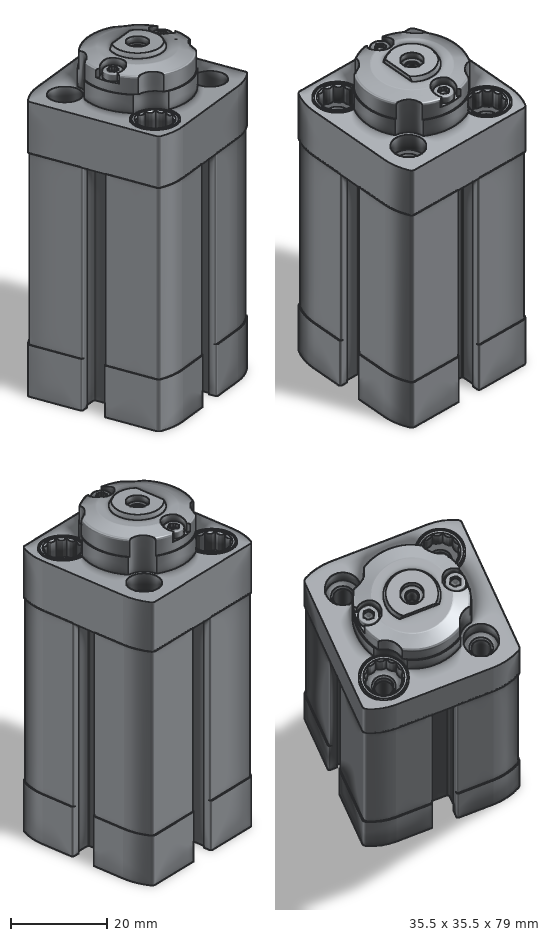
import cadquery as cq
import math

TOTAL_HEIGHT = 79.0
DECK_HEIGHT = 68.5
END_CAP_HEIGHT = 12.0

CAP_WIDTH = 35.5
BARREL_INSET = 0.2
CORNER_ARC_START = 11.0
CORNER_ARC_RADIUS = 13.6
CORNER_EDGE_RADIUS = 1.0

SLOT_MOUTH_WIDTH = 5.4
SLOT_INNER_WIDTH = 6.5
SLOT_LIP_RADIUS = 0.5
SLOT_NECK_DEPTH = 2.0
SLOT_DEPTH = 5.7
SLOT_FLOOR_RADIUS = 0.6

LOWER_DISC_DIAMETER = 25.0
LOWER_DISC_TOP = 72.75
UPPER_DISC_DIAMETER = 24.5
UPPER_DISC_EDGE_HEIGHT = 76.95
UPPER_DISC_EDGE_RADIUS = 0.6
COVER_FLAT_DIAMETER = 17.3
COVER_FLAT_BLEND_RADIUS = 1.0
BOSS_DIAMETER = 12.0
BOSS_HEIGHT = 1.0
BOSS_CHAMFER = 0.55
BOSS_FLAT_OFFSET = 4.0
COVER_TOP = TOTAL_HEIGHT - BOSS_HEIGHT

BOSS_COUNTERBORE_DIAMETER = 5.0
BOSS_COUNTERBORE_DEPTH = 1.5
BOSS_HOLE_DIAMETER = 2.5
BOSS_HOLE_DEPTH = 6.0
BOSS_HOLE_COUNTERSINK = 0.2
DRILL_TIP_ANGLE = 118

MOUNT_HOLE_PITCH = 22.0
MOUNT_HOLE_DIAMETER = 4.1
MOUNT_CHAMFER_DIAMETER = 5.0
MOUNT_COUNTERBORE_DIAMETER = 7.5
MOUNT_COUNTERBORE_DEPTH = 4.0
SCALLOP_DIAMETER = 9.0

COLLAR_DIAMETER = 10.5
COLLAR_HEIGHT = 6.5
COLLAR_EDGE_CHAMFER = 0.4
COLLAR_SOCKET_DEPTH = 4.5
SOCKET_MOUTH_DIAMETER = 8.6
SOCKET_ROOT_DIAMETER = 8.45
SOCKET_TIP_DIAMETER = 7.75
SOCKET_TOOTH_COUNT = 12
SOCKET_TOOTH_TIP_WIDTH = 0.7

COVER_SCREW_OFFSET = 9.8
POCKET_DIAMETER = 5.5
POCKET_DEPTH = 3.0
POCKET_NECK_WIDTH = 4.1
POCKET_NECK_OFFSET = 11.5
POCKET_FLARE_LENGTH = 0.95
POCKET_FLARE_SPREAD = 2.05
SCREW_HEAD_DIAMETER = 4.4
SCREW_HEAD_HEIGHT = 1.7
SCREW_HEAD_RADIUS = 0.3
SCREW_SHANK_DIAMETER = 2.0
SCREW_SHANK_LENGTH = 6.0
SCREW_SOCKET_DIAMETER = 2.45
SCREW_SOCKET_CORE_DIAMETER = 2.2
SCREW_SOCKET_LOBE_DIAMETER = 0.6
SCREW_SOCKET_LOBE_COUNT = 6
SCREW_SOCKET_DEPTH = 1.0

HOLE_OFFSET = MOUNT_HOLE_PITCH / 2
PLAIN_CORNERS = [(HOLE_OFFSET, HOLE_OFFSET), (-HOLE_OFFSET, -HOLE_OFFSET)]
COLLAR_CORNERS = [(-HOLE_OFFSET, HOLE_OFFSET), (HOLE_OFFSET, -HOLE_OFFSET)]
POCKET_FLOOR = COVER_TOP - POCKET_DEPTH


def cylinder(diameter, bottom, top, center=(0, 0)):
    disc = cq.Workplane("XY", origin=(*center, bottom)).circle(diameter / 2)
    return disc.extrude(top - bottom)


def cone(bottom_diameter, top_diameter, bottom, top, center=(0, 0)):
    axis = cq.Vector(0, 0, 1)
    base = cq.Vector(*center, bottom)
    solid = cq.Solid.makeCone(bottom_diameter / 2, top_diameter / 2, top - bottom, base, axis)
    return cq.Workplane(solid)


def block(inset, bottom, top):
    """Square prism whose X sides curve inwards towards the corners, all faces set in by `inset`."""
    half = CAP_WIDTH / 2 - inset
    radius = CORNER_ARC_RADIUS - inset
    arc_center = CAP_WIDTH / 2 - CORNER_ARC_RADIUS
    end_angle = math.asin((half - CORNER_ARC_START) / radius)

    def arc_point(angle):
        return (arc_center + radius * math.cos(angle), CORNER_ARC_START + radius * math.sin(angle))

    middle_x, middle_y = arc_point(end_angle / 2)
    end_x, end_y = arc_point(end_angle)
    outline = (
        cq.Workplane("XY", origin=(0, 0, bottom))
        .moveTo(half, -CORNER_ARC_START)
        .lineTo(half, CORNER_ARC_START)
        .threePointArc((middle_x, middle_y), (end_x, end_y))
        .lineTo(-end_x, end_y)
        .threePointArc((-middle_x, middle_y), (-half, CORNER_ARC_START))
        .lineTo(-half, -CORNER_ARC_START)
        .threePointArc((-middle_x, -middle_y), (-end_x, -end_y))
        .lineTo(end_x, -end_y)
        .threePointArc((middle_x, -middle_y), (half, -CORNER_ARC_START))
        .close()
    )
    solid = outline.extrude(top - bottom)
    return solid.edges("|Z and (>Y or <Y)").fillet(CORNER_EDGE_RADIUS)


def sensor_slot(inset, bottom, top):
    """T-shaped slot along the -Y side, with rounded lips where it meets a face set in by `inset`."""
    face = -CAP_WIDTH / 2 + inset
    neck_end = -CAP_WIDTH / 2 + SLOT_NECK_DEPTH
    floor = -CAP_WIDTH / 2 + SLOT_DEPTH
    mouth = SLOT_MOUTH_WIDTH / 2
    inner = SLOT_INNER_WIDTH / 2
    lip_middle = SLOT_LIP_RADIUS * (1 - math.sqrt(0.5))
    return (
        cq.Workplane("XY", origin=(0, 0, bottom))
        .moveTo(-mouth - SLOT_LIP_RADIUS, face)
        .threePointArc((-mouth - lip_middle, face + lip_middle), (-mouth, face + SLOT_LIP_RADIUS))
        .lineTo(-mouth, neck_end)
        .lineTo(-inner, neck_end)
        .lineTo(-inner, floor)
        .lineTo(inner, floor)
        .lineTo(inner, neck_end)
        .lineTo(mouth, neck_end)
        .lineTo(mouth, face + SLOT_LIP_RADIUS)
        .threePointArc((mouth + lip_middle, face + lip_middle), (mouth + SLOT_LIP_RADIUS, face))
        .close()
        .extrude(top - bottom)
        .edges("|Z and >Y")
        .fillet(SLOT_FLOOR_RADIUS)
    )


def cover():
    """Two stacked discs, a conical rim and a raised boss with one flat."""
    lower_disc = cylinder(LOWER_DISC_DIAMETER, DECK_HEIGHT, LOWER_DISC_TOP)
    upper_disc = cylinder(UPPER_DISC_DIAMETER, LOWER_DISC_TOP, UPPER_DISC_EDGE_HEIGHT).union(
        cone(UPPER_DISC_DIAMETER, COVER_FLAT_DIAMETER, UPPER_DISC_EDGE_HEIGHT, COVER_TOP)
    )
    rim_edge = cq.selectors.BoxSelector(
        (-UPPER_DISC_DIAMETER, -UPPER_DISC_DIAMETER, LOWER_DISC_TOP + UPPER_DISC_EDGE_RADIUS),
        (UPPER_DISC_DIAMETER, UPPER_DISC_DIAMETER, COVER_TOP - UPPER_DISC_EDGE_RADIUS),
    )
    upper_disc = upper_disc.edges("%CIRCLE").edges(rim_edge).fillet(UPPER_DISC_EDGE_RADIUS)
    upper_disc = upper_disc.edges("%CIRCLE and >Z").fillet(COVER_FLAT_BLEND_RADIUS)
    boss = cone(BOSS_DIAMETER, BOSS_DIAMETER - 2 * BOSS_CHAMFER, COVER_TOP, TOTAL_HEIGHT)
    flat_cut = (
        cq.Workplane("XY", origin=(-BOSS_FLAT_OFFSET - BOSS_DIAMETER / 2, 0, COVER_TOP))
        .rect(BOSS_DIAMETER, BOSS_DIAMETER)
        .extrude(BOSS_HEIGHT)
    )
    boss = boss.cut(flat_cut)

    for corner in PLAIN_CORNERS:
        lower_disc = lower_disc.cut(cylinder(SCALLOP_DIAMETER, DECK_HEIGHT, LOWER_DISC_TOP, corner))
    for corner in COLLAR_CORNERS:
        lower_disc = lower_disc.cut(cylinder(COLLAR_DIAMETER, DECK_HEIGHT, LOWER_DISC_TOP, corner))
    for corner in PLAIN_CORNERS + COLLAR_CORNERS:
        upper_disc = upper_disc.cut(cylinder(SCALLOP_DIAMETER, LOWER_DISC_TOP, COVER_TOP, corner))
    return lower_disc.union(upper_disc).union(boss)


def boss_hole():
    """Counterbored blind hole with a countersunk mouth and a drill-tip bottom."""
    step = TOTAL_HEIGHT - BOSS_COUNTERBORE_DEPTH
    bottom = TOTAL_HEIGHT - BOSS_HOLE_DEPTH
    sink_diameter = BOSS_HOLE_DIAMETER + 2 * BOSS_HOLE_COUNTERSINK
    tip_height = BOSS_HOLE_DIAMETER / 2 / math.tan(math.radians(DRILL_TIP_ANGLE / 2))
    return (
        cylinder(BOSS_COUNTERBORE_DIAMETER, step, TOTAL_HEIGHT)
        .union(cone(BOSS_HOLE_DIAMETER, sink_diameter, step - BOSS_HOLE_COUNTERSINK, step))
        .union(cylinder(BOSS_HOLE_DIAMETER, bottom, step))
        .union(cone(0, BOSS_HOLE_DIAMETER, bottom - tip_height, bottom))
    )


def through_bore(corner, step, bottom):
    """Mounting bore from `bottom` up to `step`, chamfered at its upper end."""
    chamfer = (MOUNT_CHAMFER_DIAMETER - MOUNT_HOLE_DIAMETER) / 2
    bore = cylinder(MOUNT_HOLE_DIAMETER, bottom, step, corner)
    sink = cone(MOUNT_HOLE_DIAMETER, MOUNT_CHAMFER_DIAMETER, step - chamfer, step, corner)
    return bore.union(sink)


def cover_screw_pocket():
    """Round pocket at the +Y edge of the cover that opens outwards through a flared neck."""
    neck = POCKET_NECK_WIDTH / 2
    flare = neck + POCKET_FLARE_SPREAD
    flare_end = POCKET_NECK_OFFSET + POCKET_FLARE_LENGTH
    opening = (
        cq.Workplane("XY", origin=(0, 0, POCKET_FLOOR))
        .polyline([
            (-neck, COVER_SCREW_OFFSET),
            (neck, COVER_SCREW_OFFSET),
            (neck, POCKET_NECK_OFFSET),
            (flare, flare_end),
            (-flare, flare_end),
            (-neck, POCKET_NECK_OFFSET),
        ])
        .close()
        .extrude(POCKET_DEPTH)
    )
    round_pocket = cylinder(POCKET_DIAMETER, POCKET_FLOOR, COVER_TOP, (0, COVER_SCREW_OFFSET))
    shank_bottom = POCKET_FLOOR - SCREW_SHANK_LENGTH
    shank_hole = cylinder(SCREW_SHANK_DIAMETER, shank_bottom, POCKET_FLOOR, (0, COVER_SCREW_OFFSET))
    return round_pocket.union(opening).union(shank_hole)


def make_housing():
    """Slotted barrel between two end caps, one piece with the cover, pierced for all the screws."""
    barrel_top = DECK_HEIGHT - END_CAP_HEIGHT
    housing = (
        block(0, 0, END_CAP_HEIGHT)
        .union(block(BARREL_INSET, END_CAP_HEIGHT, barrel_top))
        .union(block(0, barrel_top, DECK_HEIGHT))
        .union(cover())
        .cut(boss_hole())
    )
    cap_slot = sensor_slot(0, 0, END_CAP_HEIGHT)
    barrel_slot = sensor_slot(BARREL_INSET, END_CAP_HEIGHT, barrel_top)
    for angle in (0, 90, 180, 270):
        housing = housing.cut(cap_slot.rotate((0, 0, 0), (0, 0, 1), angle))
        housing = housing.cut(barrel_slot.rotate((0, 0, 0), (0, 0, 1), angle))
    for angle in (0, 180):
        housing = housing.cut(cover_screw_pocket().rotate((0, 0, 0), (0, 0, 1), angle))
    for corner in PLAIN_CORNERS:
        step = DECK_HEIGHT - MOUNT_COUNTERBORE_DEPTH
        housing = housing.cut(cylinder(MOUNT_COUNTERBORE_DIAMETER, step, DECK_HEIGHT, corner))
        housing = housing.cut(through_bore(corner, step, 0))
    for corner in COLLAR_CORNERS:
        step = DECK_HEIGHT - COLLAR_HEIGHT
        housing = housing.cut(cylinder(COLLAR_DIAMETER, step, DECK_HEIGHT, corner))
        housing = housing.cut(cylinder(MOUNT_HOLE_DIAMETER, 0, step, corner))
    return housing


def collar_socket(floor):
    """Socket with V-shaped grooves between blunt teeth and a conical mouth at deck height."""
    tooth_pitch = 360 / SOCKET_TOOTH_COUNT
    half_tip = math.degrees(math.asin(SOCKET_TOOTH_TIP_WIDTH / SOCKET_TIP_DIAMETER))
    mouth_bottom = DECK_HEIGHT - (SOCKET_MOUTH_DIAMETER - SOCKET_TIP_DIAMETER) / 2

    def polar_point(diameter, angle):
        direction = math.radians(angle)
        return (diameter / 2 * math.cos(direction), diameter / 2 * math.sin(direction))

    outline = []
    for tooth in range(SOCKET_TOOTH_COUNT):
        angle = (tooth + 0.5) * tooth_pitch
        outline.append(polar_point(SOCKET_TIP_DIAMETER, angle - half_tip))
        outline.append(polar_point(SOCKET_TIP_DIAMETER, angle + half_tip))
        outline.append(polar_point(SOCKET_ROOT_DIAMETER, angle + tooth_pitch / 2))
    grooves = cq.Workplane("XY", origin=(0, 0, floor)).polyline(outline).close()
    mouth = cone(SOCKET_TIP_DIAMETER, SOCKET_MOUTH_DIAMETER, mouth_bottom, DECK_HEIGHT)
    return grooves.extrude(COLLAR_SOCKET_DEPTH).union(mouth)


def make_collar_screw(corner):
    """Hollow collar with a multi-tooth socket, flush with the deck."""
    bottom = DECK_HEIGHT - COLLAR_HEIGHT
    floor = DECK_HEIGHT - COLLAR_SOCKET_DEPTH
    collar = cylinder(COLLAR_DIAMETER, bottom, DECK_HEIGHT).faces(">Z").chamfer(COLLAR_EDGE_CHAMFER)
    collar = collar.cut(collar_socket(floor)).cut(through_bore((0, 0), floor, bottom))
    return collar.translate((*corner, 0))


def make_cover_screw(side):
    """Socket-head screw standing in the cover pocket on the +Y (1) or -Y (-1) side."""
    center = (0, side * COVER_SCREW_OFFSET)
    head_top = POCKET_FLOOR + SCREW_HEAD_HEIGHT
    socket_floor = head_top - SCREW_SOCKET_DEPTH
    tip_height = SCREW_SOCKET_CORE_DIAMETER / 2 / math.tan(math.radians(DRILL_TIP_ANGLE / 2))
    head = cylinder(SCREW_HEAD_DIAMETER, POCKET_FLOOR, head_top, center)
    head = head.faces(">Z").edges().fillet(SCREW_HEAD_RADIUS)
    shank = cylinder(SCREW_SHANK_DIAMETER, POCKET_FLOOR - SCREW_SHANK_LENGTH, POCKET_FLOOR, center)
    lobe_circle_radius = (SCREW_SOCKET_DIAMETER - SCREW_SOCKET_LOBE_DIAMETER) / 2
    lobes = (
        cq.Workplane("XY", origin=(*center, socket_floor))
        .polarArray(lobe_circle_radius, 90, 360, SCREW_SOCKET_LOBE_COUNT)
        .circle(SCREW_SOCKET_LOBE_DIAMETER / 2)
        .extrude(SCREW_SOCKET_DEPTH)
    )
    core = cylinder(SCREW_SOCKET_CORE_DIAMETER, socket_floor, head_top, center)
    tip = cone(0, SCREW_SOCKET_CORE_DIAMETER, socket_floor - tip_height, socket_floor, center)
    return head.union(shank).cut(core).cut(lobes).cut(tip)


housing = make_housing()
collar_screws = [make_collar_screw(corner) for corner in COLLAR_CORNERS]
cover_screws = [make_cover_screw(side) for side in (1, -1)]

result = cq.Compound.makeCompound(
    [housing.val()]
    + [screw.val() for screw in collar_screws]
    + [screw.val() for screw in cover_screws]
)